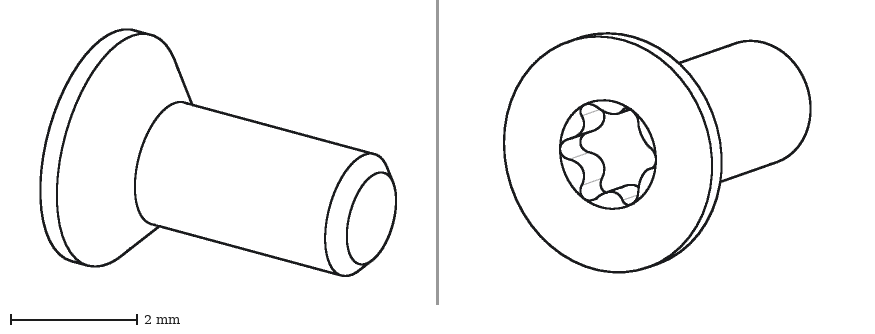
import cadquery as cq
import math

length = 5.0
head_radius = 1.9
shank_radius = 1.0
rim_thickness = 0.31
tip_chamfer = 0.25
head_height = rim_thickness + head_radius - shank_radius

lobe_count = 6
socket_outer_radius = 0.875
socket_inner_radius = 0.63
lobe_tip_radius = 0.17
socket_depth = 0.65
floor_slope = 30.0
entry_slope = 30.0


def polar(radius, angle):
    return radius * math.cos(angle), radius * math.sin(angle)


def revolve_about_x(points):
    """Revolve a closed (x, radius) outline around the X axis."""
    return cq.Workplane("XY").polyline(points).close().revolve(360, (0, 0), (1, 0))


def cone_along_x(radius, start, slope):
    """Cone with its base at X = start and its apex towards +X."""
    apex = start + radius * math.tan(math.radians(slope))
    return revolve_about_x([(start, 0), (start, radius), (apex, 0)])


def lobed_prism(depth):
    """Star of tangent arcs: rounded lobe tips joined by rounded valleys."""
    half_pitch = math.pi / lobe_count
    tip_centre = socket_outer_radius - lobe_tip_radius

    cosine = math.cos(half_pitch)
    numerator = (
        tip_centre**2 + socket_inner_radius**2 - lobe_tip_radius**2
        - 2 * tip_centre * socket_inner_radius * cosine
    )
    valley_radius = numerator / (2 * (lobe_tip_radius + tip_centre * cosine - socket_inner_radius))
    valley_centre = polar(socket_inner_radius + valley_radius, half_pitch)

    share = lobe_tip_radius / (lobe_tip_radius + valley_radius)
    join_x = tip_centre + share * (valley_centre[0] - tip_centre)
    join_y = share * valley_centre[1]
    join_radius = math.hypot(join_x, join_y)
    join_angle = math.atan2(join_y, join_x)

    outline = cq.Workplane("YZ").moveTo(*polar(join_radius, -join_angle))
    for lobe in range(lobe_count):
        angle = 2 * half_pitch * lobe
        next_angle = angle + 2 * half_pitch
        outline = outline.threePointArc(
            polar(socket_outer_radius, angle), polar(join_radius, angle + join_angle)
        )
        outline = outline.threePointArc(
            polar(socket_inner_radius, angle + half_pitch),
            polar(join_radius, next_angle - join_angle),
        )
    return outline.close().extrude(depth)


def drive_recess():
    """Lobed socket with a conical floor and a conical entry."""
    floor_height = socket_outer_radius * math.tan(math.radians(floor_slope))
    envelope = revolve_about_x([
        (0, 0),
        (0, socket_outer_radius),
        (socket_depth, socket_outer_radius),
        (socket_depth + floor_height, 0),
    ])
    socket = lobed_prism(socket_depth + floor_height).intersect(envelope)
    return socket.union(cone_along_x(socket_outer_radius, 0, entry_slope))


body = revolve_about_x([
    (0, 0),
    (0, head_radius),
    (rim_thickness, head_radius),
    (head_height, shank_radius),
    (length - tip_chamfer, shank_radius),
    (length, shank_radius - tip_chamfer),
    (length, 0),
])
result = body.cut(drive_recess())